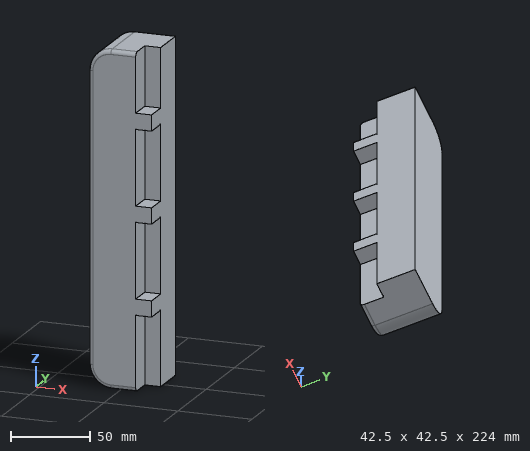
import cadquery as cq

width = 42.5
depth = 42.5
height = 224.0

corner_radius = 15.0
front_edge_radius = 3.0

notch_width = 10.8
notch_depth = 16.1
tab_height = 10.8
tab_gap = 50.6
tab_count = 3
tab_pitch = tab_gap + tab_height


def make_block(size_x, size_y, size_z, corner):
    """Box whose lowest X, Y and Z corner sits at the given point."""
    return cq.Workplane("XY").box(size_x, size_y, size_z, centered=False).translate(corner)


def make_body():
    """Block with two large rounded left corners and a rounded front outline."""
    body = make_block(width, depth, height, (0, 0, 0))
    body = body.edges("<X and |Y").fillet(corner_radius)
    front_outline = body.faces("<Y").edges("not >X")
    return body.newObject(front_outline.vals()).fillet(front_edge_radius)


def make_notch():
    """Full-height strip cut from the right front edge."""
    return make_block(notch_width, notch_depth, height, (width - notch_width, 0, 0))


def make_tab(index):
    """Tab filling the notch section, counted upward from the bottom."""
    bottom = tab_gap + index * tab_pitch
    return make_block(notch_width, notch_depth, tab_height, (width - notch_width, 0, bottom))


result = make_body().cut(make_notch())
for tab_index in range(tab_count):
    result = result.union(make_tab(tab_index))
result = result.clean()